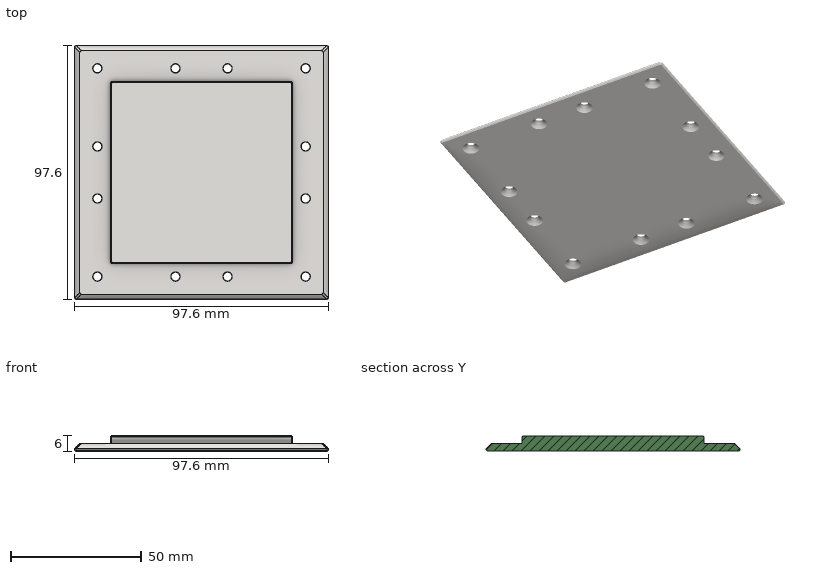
import cadquery as cq
plate_size = 97.6
plate_thickness = 3.0
plate_top_bevel = 2.0
plate_corner_chamfer = 0.5
plate_bottom_chamfer = 0.5

pad_size = 70.0
total_height = 6.0
pad_height = total_height - plate_thickness
pad_edge_chamfer = 0.5

hole_diameter = 3.4
hole_outer_offset = 40.0
hole_inner_offset = 10.0
countersink_diameter = 6.4
countersink_depth = (countersink_diameter - hole_diameter) / 2


def make_plate():
    """Square plate with a bevelled top edge and narrow chamfers on its corners and bottom edge."""
    plate = cq.Workplane("XY").box(plate_size, plate_size, plate_thickness, centered=(True, True, False))
    plate = plate.faces(">Z").edges().chamfer(plate_top_bevel)
    plate = plate.edges("not #Z").chamfer(plate_corner_chamfer)
    return plate.faces("<Z").edges().chamfer(plate_bottom_chamfer)


def make_pad():
    """Square pad standing on the plate, with its corners and top edge chamfered."""
    pad = (
        cq.Workplane("XY")
        .workplane(offset=plate_thickness)
        .box(pad_size, pad_size, pad_height, centered=(True, True, False))
    )
    pad = pad.edges("|Z").chamfer(pad_edge_chamfer)
    return pad.faces(">Z").edges().chamfer(pad_edge_chamfer)


def border_hole_centres():
    """Four holes on each side of the border; the corner holes are shared."""
    along_side = (-hole_outer_offset, -hole_inner_offset, hole_inner_offset, hole_outer_offset)
    return [
        (x, y)
        for x in along_side
        for y in along_side
        if hole_outer_offset in (abs(x), abs(y))
    ]


def make_holes():
    """Cylinders that cut the border holes through the plate."""
    return (
        cq.Workplane("XY")
        .pushPoints(border_hole_centres())
        .circle(hole_diameter / 2)
        .extrude(plate_thickness)
    )


def make_countersinks():
    """Cones that widen the border holes towards the underside of the plate."""
    cone = cq.Solid.makeCone(countersink_diameter / 2, hole_diameter / 2, countersink_depth)
    return (
        cq.Workplane("XY")
        .pushPoints(border_hole_centres())
        .eachpoint(lambda location: cone.moved(location))
    )


result = make_plate().union(make_pad()).cut(make_holes()).cut(make_countersinks())